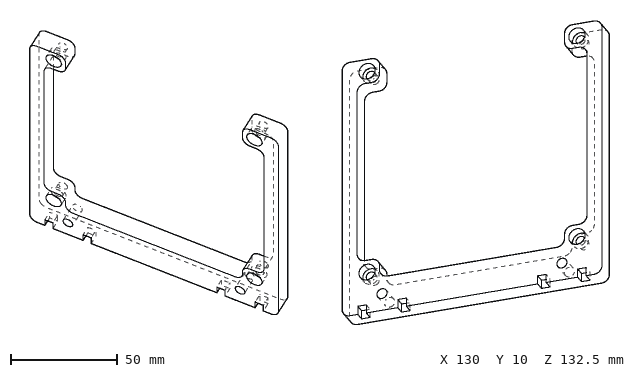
import cadquery as cq

height = 132.5
width = 130.0
thickness = 10.0
corner_radius = 4.0

side_rail_width = 7.5
bottom_rail_height = 17.5
hole_pitch = 105.0
lug_half_size = 6.2

mount_hole_diameter = 4.6
counterbore_diameter = 8.1
counterbore_depth = 5.0

rail_hole_diameter = 5.0
rail_hole_spacing = 90.0
rail_hole_height = 8.7

notch_size = 4.2
notch_depth = 5.0
notch_spacings = (70.0, 110.0)

half_width = width / 2
half_pitch = hole_pitch / 2
upper_hole_z = height - lug_half_size
lower_hole_z = upper_hole_z - hole_pitch
opening_half_width = half_pitch - lug_half_size
rail_inner_x = half_width - side_rail_width
mount_points = [(x, z) for x in (-half_pitch, half_pitch) for z in (lower_hole_z, upper_hole_z)]


def make_frame():
    """U-shaped frame with a lug at each mounting hole and all profile corners rounded."""
    right_half = [
        (half_width, 0),
        (half_width, height),
        (opening_half_width, height),
        (opening_half_width, upper_hole_z - lug_half_size),
        (rail_inner_x, upper_hole_z - lug_half_size),
        (rail_inner_x, lower_hole_z + lug_half_size),
        (opening_half_width, lower_hole_z + lug_half_size),
        (opening_half_width, bottom_rail_height),
    ]
    left_half = [(-x, z) for x, z in reversed(right_half)]
    profile = cq.Workplane("XZ").polyline(right_half + left_half).close()
    return profile.extrude(-thickness).edges("|Y").fillet(corner_radius)


def make_bores(points, diameter, depth):
    """Cylinders running back from the front face."""
    return cq.Workplane("XZ").pushPoints(points).circle(diameter / 2).extrude(-depth)


def make_notches():
    """Mirrored pairs of square notches rising from the bottom edge."""
    centers = [(side * spacing / 2, notch_size / 2) for spacing in notch_spacings for side in (-1, 1)]
    return cq.Workplane("XZ").pushPoints(centers).rect(notch_size, notch_size).extrude(-notch_depth)


rail_hole_points = [(side * rail_hole_spacing / 2, rail_hole_height) for side in (-1, 1)]

result = (
    make_frame()
    .cut(make_bores(mount_points, mount_hole_diameter, thickness))
    .cut(make_bores(mount_points, counterbore_diameter, counterbore_depth))
    .cut(make_bores(rail_hole_points, rail_hole_diameter, thickness))
    .cut(make_notches())
)